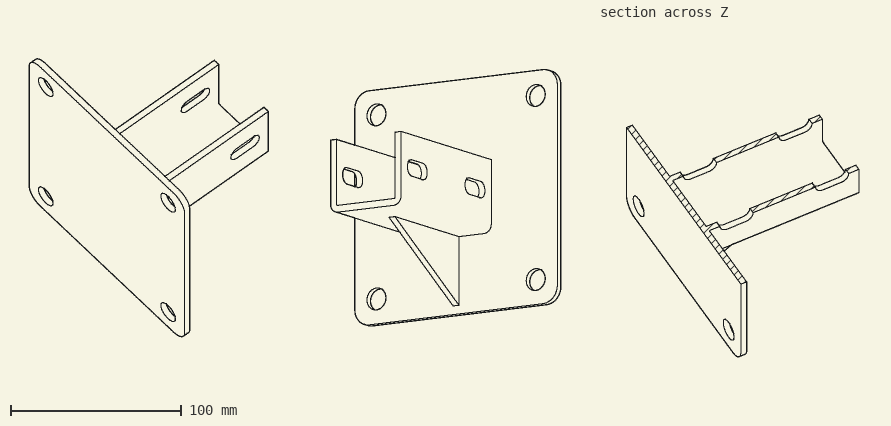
import cadquery as cq

plate_side = 140.0
sheet = 4.0
plate_corner_radius = 10.0
bolt_hole_diameter = 13.0
bolt_spacing = 110.0

overall_depth = 104.0
channel_length = overall_depth - sheet
channel_width = 48.7
channel_top = 19.9
channel_bottom = -23.8
inner_bend_radius = 1.0
outer_bend_radius = inner_bend_radius + sheet

slot_length = 22.0
slot_height = 9.8
slot_spacing = 63.8

gusset_length = 71.0
gusset_height = 41.0


def make_plate():
    blank = cq.Workplane("XY").box(plate_side, sheet, plate_side).translate((0, sheet / 2, 0))
    rounded = blank.edges("|Y").fillet(plate_corner_radius)
    holes = (
        cq.Workplane("XZ")
        .rect(bolt_spacing, bolt_spacing, forConstruction=True)
        .vertices()
        .circle(bolt_hole_diameter / 2)
        .extrude(-sheet)
    )
    return rounded.cut(holes)


def channel_block(width, bottom, bend_radius):
    """Solid bar from the given bottom to the channel top, with its lower edges rounded."""
    height = channel_top - bottom
    return (
        cq.Workplane("XY")
        .box(width, channel_length, height)
        .translate((0, sheet + channel_length / 2, bottom + height / 2))
        .edges("|Y and <Z")
        .fillet(bend_radius)
    )


def make_channel():
    outside = channel_block(channel_width, channel_bottom, outer_bend_radius)
    inside = channel_block(channel_width - 2 * sheet, channel_bottom + sheet, inner_bend_radius)
    slot_middle = sheet + channel_length / 2
    slots = (
        cq.Workplane("YZ")
        .pushPoints([(slot_middle + side * slot_spacing / 2, 0) for side in (-1, 1)])
        .slot2D(slot_length, slot_height)
        .extrude(channel_width, both=True)
    )
    return outside.cut(inside).cut(slots)


def make_gusset():
    floor_middle = channel_bottom + sheet / 2
    return (
        cq.Workplane("YZ")
        .moveTo(sheet / 2, floor_middle)
        .lineTo(sheet + gusset_length, floor_middle)
        .lineTo(sheet + gusset_length, channel_bottom)
        .lineTo(sheet, channel_bottom - gusset_height)
        .lineTo(sheet / 2, channel_bottom - gusset_height)
        .close()
        .extrude(sheet / 2, both=True)
    )


result = make_plate().union(make_channel()).union(make_gusset())